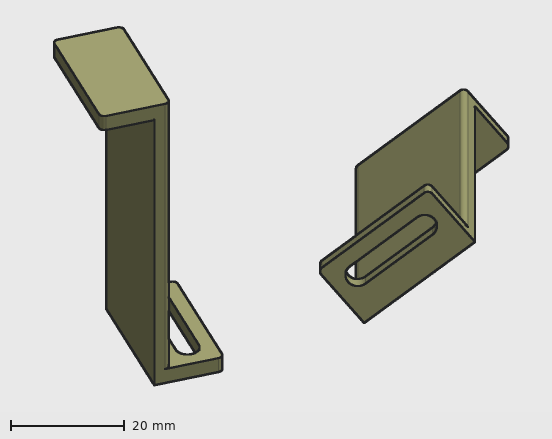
import cadquery as cq

width = 25.0
height = 59.67
thickness = 3.0
flange_reach = 10.0
corner_radius = 1.0

slot_length = 19.4
slot_width = 4.3
slot_edge_margin = 2.9

lower_flange_end = thickness + flange_reach
slot_center_y = lower_flange_end - slot_edge_margin - slot_width / 2


def rounded_plate(y_start, y_end, z_start, z_end, rounded_edges):
    """Full-width block centred on X with the selected vertical edges rounded."""
    block = cq.Workplane("XY").box(
        width, y_end - y_start, z_end - z_start, centered=(True, False, False)
    )
    block = block.edges(rounded_edges).fillet(corner_radius)
    return block.translate((0, y_start, z_start))


def make_wall():
    return rounded_plate(0, thickness, 0, height, "|Z and >Y")


def make_upper_flange():
    return rounded_plate(-flange_reach, thickness, height - thickness, height, "|Z")


def make_lower_flange():
    return rounded_plate(0, lower_flange_end, 0, thickness, "|Z and >Y")


def make_slot():
    return (
        cq.Workplane("XY")
        .center(0, slot_center_y)
        .slot2D(slot_length, slot_width)
        .extrude(thickness)
    )


result = make_wall().union(make_upper_flange()).union(make_lower_flange()).cut(make_slot())